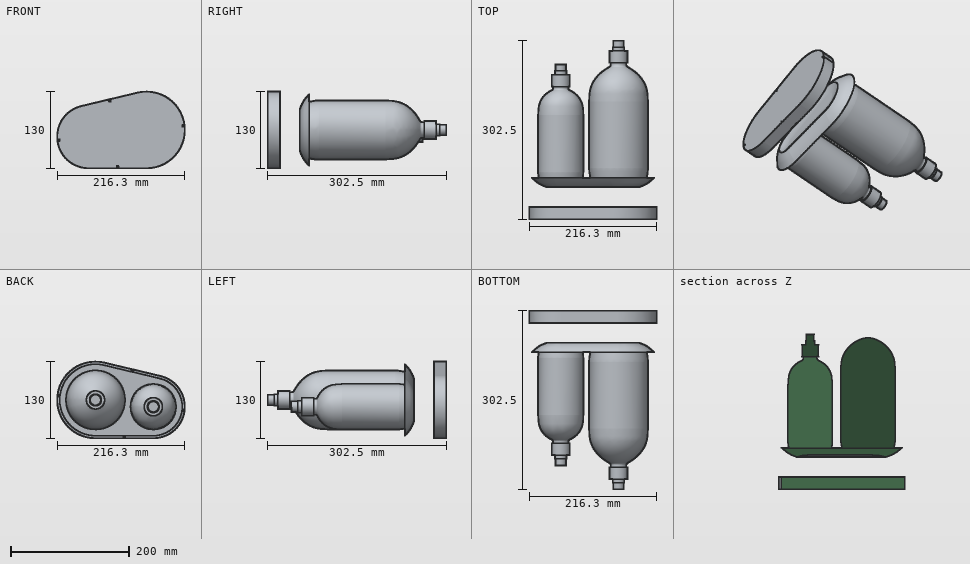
import cadquery as cq
import math

total_length = 302.5
total_width = 216.3
large_end_radius = 65.0
small_end_radius = 53.5
large_x = total_width / 2 - large_end_radius
small_x = small_end_radius - total_width / 2
small_z = small_end_radius - large_end_radius
axis_tilt = math.atan2(-small_z, large_x - small_x)

base_thickness = 21.2
base_hole_diameter = 2.5
base_hole_inset = 2.7

tray_front = 54.5
tray_back = 70.2
tray_inset = 4.5
flank_width = 25.5
flank_mid_inset = 10.0
flank_mid_depth = 8.5
lip_width = 1.2
dish_width = 18.0
dish_depth = 3.5

cap_diameter = 31.0
cap_length = 20.3
collar_diameter = 20.0
collar_length = 6.5
nozzle_diameter = 18.0
nozzle_length = 11.2
pump_length = cap_length + collar_length + nozzle_length

large_bottle_diameter = 100.0
large_heel_y = 86.8
large_shoulder_y = 199.5
large_foot_radius = 47.8
large_neck_y = total_length - pump_length
large_shoulder_points = [(42.0, 234.0), (16.3, 257.5)]

small_bottle_diameter = 77.0
small_heel_y = 80.5
small_shoulder_y = 176.7
small_foot_radius = 37.2
small_neck_y = 224.5
small_shoulder_points = [(32.0, 204.5), (16.0, 218.0)]

neck_radius = 13.3
neck_length = 3.0


def polar(x, z, radius, angle):
    """Point at a radius and angle (radians) about a centre in the XZ plane."""
    return (x + radius * math.cos(angle), z + radius * math.sin(angle))


def outline(inset, y):
    """Closed outline around both ends, moved inward by inset, at height y."""
    large_r = large_end_radius - inset
    small_r = small_end_radius - inset
    top_angle = math.pi / 2 + 2 * axis_tilt
    return (
        cq.Workplane("XZ", origin=(0, y, 0))
        .moveTo((large_x + small_x) / 2, -large_r)
        .lineTo(large_x, -large_r)
        .threePointArc(
            polar(large_x, 0, large_r, axis_tilt),
            polar(large_x, 0, large_r, top_angle),
        )
        .lineTo(*polar(small_x, small_z, small_r, top_angle))
        .threePointArc(
            polar(small_x, small_z, small_r, axis_tilt + math.pi),
            (small_x, small_z - small_r),
        )
        .close()
    )


def make_base():
    """Plate with four small through holes just inside its edge."""
    plate = outline(0, 0).extrude(-base_thickness)
    large_r = large_end_radius - base_hole_inset
    small_r = small_end_radius - base_hole_inset
    top_angle = math.pi / 2 + 2 * axis_tilt
    large_top = polar(large_x, 0, large_r, top_angle)
    small_top = polar(small_x, small_z, small_r, top_angle)
    hole_points = [
        polar(large_x, 0, large_r, axis_tilt),
        polar(small_x, small_z, small_r, axis_tilt + math.pi),
        ((large_x + small_x) / 2, -large_r),
        ((large_top[0] + small_top[0]) / 2, (large_top[1] + small_top[1]) / 2),
    ]
    holes = (
        cq.Workplane("XZ")
        .pushPoints(hole_points)
        .circle(base_hole_diameter / 2)
        .extrude(-base_thickness)
    )
    return plate.cut(holes).solids()


def make_tray():
    """Tray with a flared flank, a flat back and a shallow dished front."""
    lip_inset = flank_width + lip_width
    core_inset = lip_inset + dish_width
    floor_y = tray_front + dish_depth
    dish_radius = (dish_width**2 + dish_depth**2) / (2 * dish_depth)
    half_angle = math.atan2(dish_width, dish_radius - dish_depth) / 2
    dish_mid = (
        floor_y - dish_radius * (1 - math.cos(half_angle)),
        core_inset - dish_radius * math.sin(half_angle),
    )
    rim_origin = ((large_x + small_x) / 2, 0, tray_inset - large_end_radius)
    ring = (
        cq.Workplane("YZ", origin=rim_origin)
        .moveTo(tray_back, 0)
        .threePointArc((tray_back - flank_mid_depth, flank_mid_inset), (tray_front, flank_width))
        .lineTo(tray_front, lip_inset)
        .threePointArc(dish_mid, (floor_y, core_inset))
        .lineTo(tray_back, core_inset)
        .close()
        .sweep(outline(tray_inset, tray_back))
    )
    core = outline(tray_inset + core_inset, floor_y).extrude(floor_y - tray_back)
    return ring.union(core).solids()


def make_bottle(x, z, diameter, foot_radius, heel_y, shoulder_y, shoulder_points, neck_y):
    """Solid bottle revolved about an axis along Y, standing on the tray."""
    radius = diameter / 2
    neck_start = (neck_radius, neck_y - neck_length)
    heel_height = heel_y - tray_back
    heel_drop = radius - foot_radius
    heel_radius = (heel_height**2 + heel_drop**2) / (2 * heel_drop)
    half_angle = math.asin(heel_height / heel_radius) / 2
    heel_mid = (
        radius - heel_radius * (1 - math.cos(half_angle)),
        heel_y - heel_radius * math.sin(half_angle),
    )
    return (
        cq.Workplane("XY")
        .moveTo(0, tray_back)
        .lineTo(foot_radius, tray_back)
        .threePointArc(heel_mid, (radius, heel_y))
        .lineTo(radius, shoulder_y)
        .spline([*shoulder_points, neck_start], tangents=[(0, 1), (0, 1)], includeCurrent=True)
        .lineTo(neck_radius, neck_y)
        .lineTo(0, neck_y)
        .close()
        .revolve(360, (0, 0, 0), (0, 1, 0))
        .translate((x, 0, z))
    )


def make_pump(x, z, start_y):
    """Stepped pump (cap, collar, nozzle) seated on the end of a neck."""
    collar_y = start_y + cap_length
    nozzle_y = collar_y + collar_length
    cap = cq.Workplane("XZ", origin=(x, start_y, z)).circle(cap_diameter / 2).extrude(-cap_length)
    collar = cq.Workplane("XZ", origin=(x, collar_y, z)).circle(collar_diameter / 2).extrude(-collar_length)
    nozzle = cq.Workplane("XZ", origin=(x, nozzle_y, z)).circle(nozzle_diameter / 2).extrude(-nozzle_length)
    return cap.union(collar).union(nozzle).solids()


base = make_base()
tray = make_tray()
large_bottle = make_bottle(
    large_x, 0, large_bottle_diameter, large_foot_radius,
    large_heel_y, large_shoulder_y, large_shoulder_points, large_neck_y,
)
small_bottle = make_bottle(
    small_x, small_z, small_bottle_diameter, small_foot_radius,
    small_heel_y, small_shoulder_y, small_shoulder_points, small_neck_y,
)
pump_seats = [(large_x, 0, large_neck_y), (small_x, small_z, small_neck_y)]
pumps = [make_pump(x, z, y) for x, z, y in pump_seats]

result = cq.Compound.makeCompound(
    [base.val(), tray.val(), large_bottle.val(), small_bottle.val(), *[pump.val() for pump in pumps]]
)